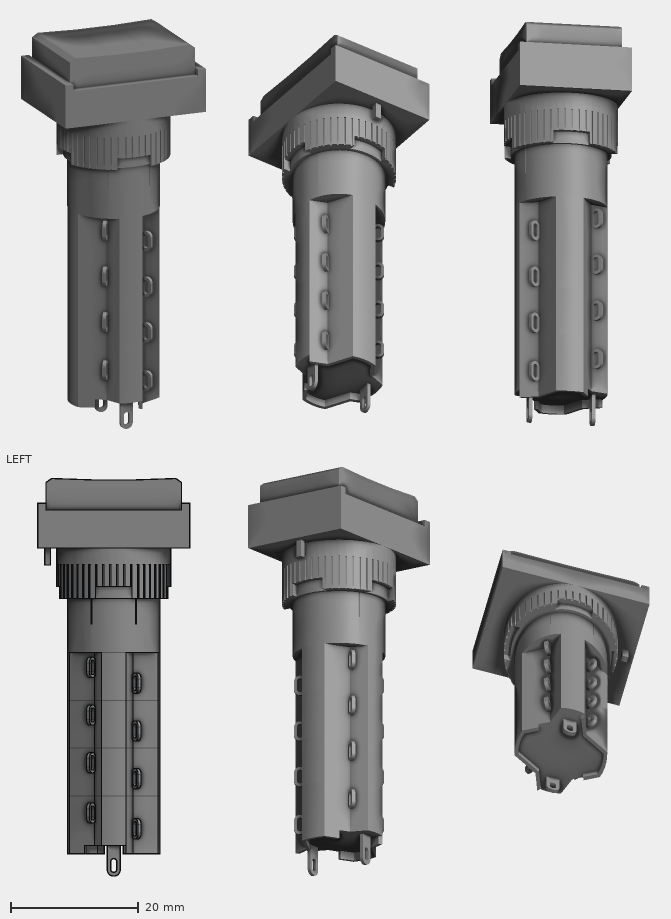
import cadquery as cq
import math

EPS = 0.6

overall_height = 62.6
bezel_x = 18.0
bezel_y = 24.0
end_wall_height = 7.1
side_wall_height = 6.0
wall_width = 1.3
button_x = bezel_x - 2 * wall_width
button_y = bezel_y - 2 * wall_width
button_top = 10.95
bevel_width = 0.95
bevel_height = 0.6
dish_depth = 0.25

peg_size = 0.95
peg_length = 2.7
peg_y = 10.4

barrel_radius = 14.6 / 2
barrel_length = 16.5
slit_offset = 3.5
slit_width = 0.1
slit_depth = 0.2
slit_bottom = 11.95

ring_radius = bezel_x / 2
ring_length = 7.95
bore_radius = 14.7 / 2
knurl_count = 50
knurl_top = 2.6
knurl_width = 0.25
knurl_depth = 0.25
notch_top = 6.1
notch_width = 5.8
notch_radius = 7.95

stage_heights = [7.5, 7.5, 7.5, 9.15]
lobe_x_half = 1.95
lobe_y_half = 2.2
corner_x = 4.25
corner_y = 3.0
stem_bottom = -barrel_length - sum(stage_heights)

recess_depth = 1.3
recess_wall = 0.55
opening_x = 3.4
opening_y = 4.65

lug_reach = 7.1
lug_width = 1.9
lug_height = 3.2
lug_thickness = 0.55
lug_rim = 0.47
upper_lug_drop = 2.3
lower_lug_drop = 4.8
last_lug_shift = 0.4

terminal_x = 5.1
terminal_width = 2.05
terminal_thickness = 0.55
terminal_tip = button_top - overall_height
terminal_slot_width = 0.95
terminal_slot_height = 2.1
terminal_slot_gap = 0.6


def make_bezel():
    bezel = cq.Workplane("XY").box(bezel_x, bezel_y, side_wall_height, centered=(True, True, False))
    for side in (-1, 1):
        end_wall = (
            cq.Workplane("XY")
            .center(0, side * (bezel_y - wall_width) / 2)
            .box(bezel_x, wall_width, end_wall_height, centered=(True, True, False))
        )
        bezel = bezel.union(end_wall)
    peg = (
        cq.Workplane("XY")
        .center(0, peg_y)
        .rect(peg_size, peg_size)
        .extrude(-peg_length)
    )
    return bezel.union(peg)


def make_button():
    """Button with bevelled ends and a top dished along Y."""
    half = button_y / 2
    shoulder = button_top - bevel_height
    profile = (
        cq.Workplane("YZ")
        .moveTo(-half, 0)
        .lineTo(-half, shoulder)
        .lineTo(-half + bevel_width, button_top)
        .threePointArc((0, button_top - dish_depth), (half - bevel_width, button_top))
        .lineTo(half, shoulder)
        .lineTo(half, 0)
        .close()
    )
    return profile.extrude(button_x / 2, both=True)


def make_barrel():
    """Cylinder with four thin keying slits that emerge below the ring."""
    barrel = cq.Workplane("XY").circle(barrel_radius).extrude(-barrel_length)
    angle = math.degrees(math.asin(slit_offset / barrel_radius))
    slit = (
        cq.Workplane("XY")
        .center(barrel_radius, 0)
        .rect(2 * slit_depth, slit_width)
        .extrude(-slit_bottom)
    )
    for turn in (angle, -angle, 180 - angle, 180 + angle):
        barrel = barrel.cut(slit.rotate((0, 0, 0), (0, 0, 1), turn))
    return barrel


def lobe_tip_x():
    return math.sqrt(barrel_radius**2 - lobe_x_half**2)


def stem_outline(top):
    """Four round-tipped lobes meeting at re-entrant corners."""
    tip_x = lobe_tip_x()
    tip_y = math.sqrt(barrel_radius**2 - lobe_y_half**2)
    return (
        cq.Workplane("XY", origin=(0, 0, top))
        .moveTo(tip_x, -lobe_x_half)
        .threePointArc((barrel_radius, 0), (tip_x, lobe_x_half))
        .lineTo(corner_x, corner_y)
        .lineTo(lobe_y_half, tip_y)
        .threePointArc((0, barrel_radius), (-lobe_y_half, tip_y))
        .lineTo(-corner_x, corner_y)
        .lineTo(-tip_x, lobe_x_half)
        .threePointArc((-barrel_radius, 0), (-tip_x, -lobe_x_half))
        .lineTo(-corner_x, -corner_y)
        .lineTo(-lobe_y_half, -tip_y)
        .threePointArc((0, -barrel_radius), (lobe_y_half, -tip_y))
        .lineTo(corner_x, -corner_y)
        .close()
    )


def stage_tops():
    return [-barrel_length - sum(stage_heights[:i]) for i in range(len(stage_heights))]


def cut_stem_recess(stem):
    """Hollow out the bottom and open it sideways at two opposite corners."""
    hollow = stem_outline(stem_bottom).offset2D(-recess_wall, "intersection").extrude(recess_depth)
    outside = barrel_radius + EPS
    tip_x = lobe_tip_x()
    flank_length = math.hypot(corner_x - lobe_y_half, barrel_radius - corner_y)
    step_x = recess_wall * (barrel_radius - corner_y) / flank_length
    step_y = recess_wall * (corner_x - lobe_y_half) / flank_length
    opening = (
        cq.Workplane("XY", origin=(0, 0, stem_bottom))
        .polyline([
            (-outside, -lobe_x_half),
            (-tip_x, -lobe_x_half),
            (-tip_x + recess_wall, -lobe_x_half + recess_wall),
            (0, 0),
            (-opening_x + step_x, opening_y - step_y),
            (-opening_x, opening_y),
            (-outside, opening_y),
        ])
        .close()
        .extrude(recess_depth)
    )
    stem = stem.cut(hollow, clean=False)
    for turn in (0, 180):
        stem = stem.cut(opening.rotate((0, 0, 0), (0, 0, 1), turn), clean=False)
    return stem


def make_lug(turn, height):
    """Upright round-ended loop, standing radially in a re-entrant corner."""
    middle = cq.Workplane("XZ").center(lug_reach - lug_width / 2, 0)
    plate = middle.slot2D(lug_height, lug_width, 90).extrude(lug_thickness / 2, both=True)
    slot = (
        middle
        .slot2D(lug_height - 2 * lug_rim, lug_width - 2 * lug_rim, 90)
        .extrude(lug_thickness, both=True)
    )
    return plate.cut(slot).rotate((0, 0, 0), (0, 0, 1), turn).translate((0, 0, height))


def lug_places():
    """Angle and height of each lug; opposite corners are alike."""
    angle = math.degrees(math.atan2(corner_y, corner_x))
    places = []
    for index, top in enumerate(stage_tops()):
        shift = last_lug_shift if index == len(stage_heights) - 1 else 0
        for turn in (0, 180):
            places.append((turn - angle, top - upper_lug_drop - shift))
            places.append((turn + angle, top - lower_lug_drop - shift))
    return places


def make_terminal(x):
    """Flat solder tag with a round tip and an upright slot."""
    half = terminal_width / 2
    root = stem_bottom + recess_depth
    tag = (
        cq.Workplane("YZ", origin=(x, 0, 0))
        .moveTo(-half, root)
        .lineTo(-half, terminal_tip + half)
        .threePointArc((0, terminal_tip), (half, terminal_tip + half))
        .lineTo(half, root)
        .close()
        .extrude(terminal_thickness / 2, both=True)
    )
    slot = (
        cq.Workplane("YZ", origin=(x, 0, 0))
        .center(0, terminal_tip + terminal_slot_gap + terminal_slot_height / 2)
        .slot2D(terminal_slot_height, terminal_slot_width, 90)
        .extrude(terminal_thickness, both=True)
    )
    return tag.cut(slot)


def make_switch():
    switch = make_bezel().union(make_button()).union(make_barrel())
    for top, height in zip(stage_tops(), stage_heights):
        switch = switch.union(stem_outline(top).extrude(-height), clean=False)
    switch = cut_stem_recess(switch)
    for turn, height in lug_places():
        switch = switch.union(make_lug(turn, height), clean=False)
    for side in (-1, 1):
        switch = switch.union(make_terminal(side * terminal_x), clean=False)
    return switch


def make_ring():
    """Knurled ring around the barrel, with four notches in its lower rim."""
    ring = (
        cq.Workplane("XY")
        .circle(ring_radius)
        .circle(bore_radius)
        .extrude(-ring_length)
    )
    knurls = (
        cq.Workplane("XY", origin=(0, 0, -knurl_top))
        .polarArray(ring_radius, -90, 360, knurl_count)
        .rect(2 * knurl_depth, knurl_width)
        .extrude(-ring_length)
    )
    ring = ring.cut(knurls)
    notch_height = ring_length - notch_top
    notches = (
        cq.Workplane("XY", origin=(0, 0, -ring_length))
        .rect(2 * ring_radius + EPS, notch_width)
        .extrude(notch_height)
        .union(
            cq.Workplane("XY", origin=(0, 0, -ring_length))
            .rect(notch_width, 2 * ring_radius + EPS)
            .extrude(notch_height)
        )
        .cut(cq.Workplane("XY").circle(notch_radius).extrude(-ring_length))
    )
    return ring.cut(notches)


switch = make_switch()
ring = make_ring()

result = cq.Compound.makeCompound([switch.solids().val(), ring.solids().val()])